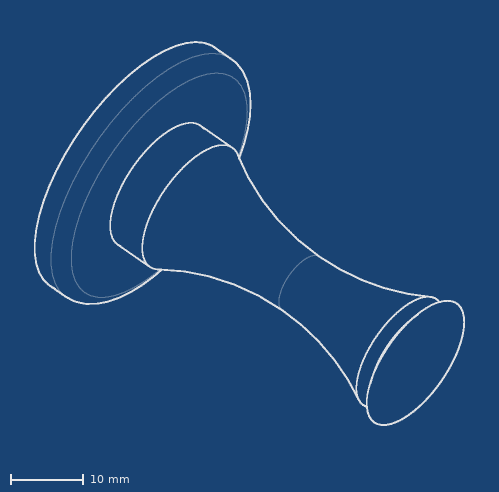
import cadquery as cq
import math

total_length = 55.0

disc_radius = 20.0
disc_thickness = 5.0
disc_edge_fillet = 2.0

collar_end = 11.0
collar_radius = 10.0
waist_position = 31.45
waist_radius = 4.5
shoulder_position = 50.0
shoulder_radius = 8.9
groove_position = 51.8
groove_radius = 8.1
rim_position = 52.9
rim_radius = collar_radius


def flare_midpoint(end_position, end_radius):
    """Middle point of the arc that leaves the waist parallel to the axis and reaches the given end."""
    run = end_position - waist_position
    rise = end_radius - waist_radius
    arc_radius = (run**2 + rise**2) / (2 * rise)
    half_angle = math.atan2(rise, abs(run))
    half_run = math.copysign(arc_radius * math.sin(half_angle), run)
    half_rise = arc_radius * (1 - math.cos(half_angle))
    return (waist_position + half_run, waist_radius + half_rise)


def dome_midpoint():
    """Middle point of the dome arc from the rim to its tip on the axis."""
    height = total_length - rim_position
    sphere_radius = (rim_radius**2 + height**2) / (2 * height)
    half_angle = math.atan2(height, rim_radius)
    center = total_length - sphere_radius
    return (center + sphere_radius * math.cos(half_angle), sphere_radius * math.sin(half_angle))


def make_disc():
    """Flat round base with a rounded edge on the handle side."""
    return (
        cq.Workplane("YZ")
        .circle(disc_radius)
        .extrude(disc_thickness)
        .faces(">X")
        .edges()
        .fillet(disc_edge_fillet)
    )


def make_handle():
    """Collar, waisted grip, groove and domed end cap, seated on the disc face."""
    profile = (
        cq.Workplane("XY")
        .moveTo(disc_thickness, 0)
        .lineTo(disc_thickness, collar_radius)
        .lineTo(collar_end, collar_radius)
        .threePointArc(flare_midpoint(collar_end, collar_radius), (waist_position, waist_radius))
        .threePointArc(
            flare_midpoint(shoulder_position, shoulder_radius),
            (shoulder_position, shoulder_radius),
        )
        .lineTo(groove_position, groove_radius)
        .lineTo(rim_position, rim_radius)
        .threePointArc(dome_midpoint(), (total_length, 0))
        .close()
    )
    return profile.revolve(360, (0, 0, 0), (1, 0, 0))


disc = make_disc()
handle = make_handle()

result = cq.Compound.makeCompound([disc.val(), handle.val()])